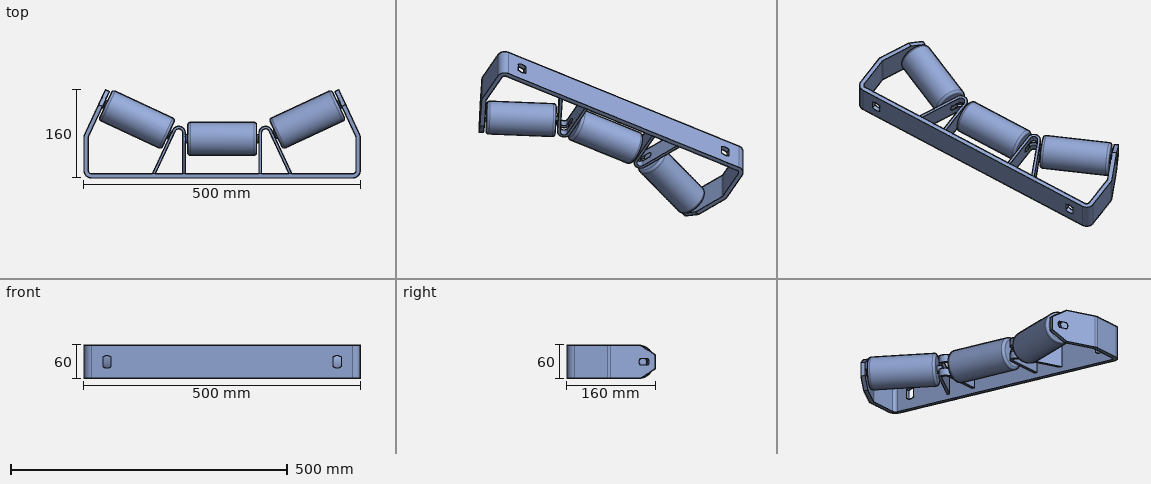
import cadquery as cq
import math

FRAME_LENGTH = 500.0
FRAME_WIDTH = 60.0
FRAME_THICKNESS = 8.0
FRAME_BEND = 14.0
SIDE_BEND_Y = 73.0
TILT = 25.0
TONGUE_LENGTH = 89.5
TONGUE_TIP_WIDTH = 25.5
TONGUE_TAPER = 30.0

MOUNT_SPACING = 416.0
MOUNT_WIDTH = 15.0
MOUNT_HEIGHT = 22.5

BRACKET_WIDTH = 40.0
BRACKET_THICKNESS = 5.0
BRACKET_BEND = 12.0

ROLLER_LENGTH = 125.0
ROLLER_DIAMETER = 60.0
ROLLER_FILLET = 5.0
ROLLER_GAP = 4.0
AXLE_DIAMETER = 15.0
AXLE_FLATS = 12.0
SHOULDER_GAP = 1.5
SLOT_TRAVEL = 5.0
MIDDLE_AXLE_Y = 71.0
TONGUE_AXLE_OFFSET = 64.5

HALF_LENGTH = FRAME_LENGTH / 2
FRAME_INNER_BEND = FRAME_BEND - FRAME_THICKNESS
BRACKET_INNER_BEND = BRACKET_BEND - BRACKET_THICKNESS
FACE_DISTANCE = ROLLER_LENGTH / 2 + ROLLER_GAP
AXLE_RADIUS = AXLE_DIAMETER / 2

RIGHT = 0.0
LEFT = 180.0
DOWN = 270.0
OUTWARD_ANGLE = LEFT - TILT


def polar(center, radius, angle):
    """Point at a distance and an angle (degrees) from a centre."""
    a = math.radians(angle)
    return (center[0] + radius * math.cos(a), center[1] + radius * math.sin(a))


def along_tongue(point, distance):
    """Point moved along the left tongue, toward its tip."""
    return polar(point, distance, OUTWARD_ANGLE - 90)


corner_center = (-HALF_LENGTH + FRAME_BEND, FRAME_BEND)
tongue_center = (-HALF_LENGTH + FRAME_BEND, SIDE_BEND_Y)
tongue_axle = along_tongue(polar(tongue_center, FRAME_INNER_BEND, OUTWARD_ANGLE), TONGUE_AXLE_OFFSET)
tilted_roller_middle = polar(tongue_axle, -FACE_DISTANCE, OUTWARD_ANGLE)
middle_roller_middle = (0.0, MIDDLE_AXLE_Y)

bracket_center_x = -FACE_DISTANCE - BRACKET_BEND
bracket_normal_distance = FRAME_INNER_BEND - 2 * FACE_DISTANCE - BRACKET_BEND
bracket_center_y = SIDE_BEND_Y + (
    bracket_normal_distance + (bracket_center_x - tongue_center[0]) * math.cos(math.radians(TILT))
) / math.sin(math.radians(TILT))
bracket_center = (bracket_center_x, bracket_center_y)


def mirrored(body):
    """Copy of a body on the other side of the YZ plane."""
    return body.mirror("YZ")


def axle_plane(point, angle, distance):
    """Plane at a distance from a point, with its normal at the angle and local x along the axle slot."""
    origin = polar(point, distance, angle)
    slot_direction = polar((0, 0), 1, angle - 90)
    normal = polar((0, 0), 1, angle)
    return cq.Plane(origin=(*origin, 0), xDir=(*slot_direction, 0), normal=(*normal, 0))


def flatted_bar(plane, length, travel=0.0):
    """Bar with two flats and rounded edges; travel stretches it along local x."""
    half_flats = AXLE_FLATS / 2
    chord = math.sqrt(AXLE_RADIUS**2 - half_flats**2)
    return (
        cq.Workplane(plane)
        .moveTo(-chord, -half_flats)
        .lineTo(chord + travel, -half_flats)
        .threePointArc((AXLE_RADIUS + travel, 0), (chord + travel, half_flats))
        .lineTo(-chord, half_flats)
        .threePointArc((-AXLE_RADIUS, 0), (-chord, -half_flats))
        .close()
        .extrude(length)
    )


def make_frame_half():
    corner_middle = (LEFT + DOWN) / 2
    bend_middle = (LEFT + OUTWARD_ANGLE) / 2
    tongue_outer = polar(tongue_center, FRAME_BEND, OUTWARD_ANGLE)
    tongue_inner = polar(tongue_center, FRAME_INNER_BEND, OUTWARD_ANGLE)
    half = (
        cq.Workplane("XY", origin=(0, 0, -FRAME_WIDTH / 2))
        .moveTo(0, 0)
        .lineTo(corner_center[0], 0)
        .threePointArc(
            polar(corner_center, FRAME_BEND, corner_middle),
            polar(corner_center, FRAME_BEND, LEFT),
        )
        .lineTo(-HALF_LENGTH, SIDE_BEND_Y)
        .threePointArc(polar(tongue_center, FRAME_BEND, bend_middle), tongue_outer)
        .lineTo(*along_tongue(tongue_outer, TONGUE_LENGTH))
        .lineTo(*along_tongue(tongue_inner, TONGUE_LENGTH))
        .lineTo(*tongue_inner)
        .threePointArc(
            polar(tongue_center, FRAME_INNER_BEND, bend_middle),
            polar(tongue_center, FRAME_INNER_BEND, LEFT),
        )
        .lineTo(-HALF_LENGTH + FRAME_THICKNESS, FRAME_BEND)
        .threePointArc(
            polar(corner_center, FRAME_INNER_BEND, corner_middle),
            polar(corner_center, FRAME_INNER_BEND, DOWN),
        )
        .lineTo(0, FRAME_THICKNESS)
        .close()
        .extrude(FRAME_WIDTH)
    )
    half = half.cut(tongue_tapers(tongue_inner))
    half = half.cut(tongue_slot())
    return half.cut(mounting_slot())


def tongue_tapers(tongue_inner):
    """The two corner wedges cut off the tongue tip."""
    wedges = cq.Workplane(axle_plane(along_tongue(tongue_inner, TONGUE_LENGTH), OUTWARD_ANGLE, 0))
    for side in (-1, 1):
        edge = side * FRAME_WIDTH / 2
        tip_corner = side * TONGUE_TIP_WIDTH / 2
        wedges = wedges.polyline([(-TONGUE_TAPER, edge), (0, edge), (0, tip_corner)]).close()
    return wedges.extrude(FRAME_THICKNESS)


def tongue_slot():
    plane = axle_plane(tilted_roller_middle, OUTWARD_ANGLE, FACE_DISTANCE)
    return flatted_bar(plane, FRAME_THICKNESS, SLOT_TRAVEL)


def mounting_slot():
    """Round hole narrowed by two upright flats."""
    base = cq.Workplane("XZ", origin=(-MOUNT_SPACING / 2, 0, 0))
    hole = base.circle(MOUNT_HEIGHT / 2).extrude(-FRAME_THICKNESS)
    return hole.intersect(base.rect(MOUNT_WIDTH, MOUNT_HEIGHT).extrude(-FRAME_THICKNESS))


def make_frame():
    half = make_frame_half()
    return half.union(mirrored(half))


def leg_foot(point):
    """Where the leaning bracket leg through a point meets the base of the frame."""
    return along_tongue(point, (FRAME_THICKNESS - point[1]) / math.cos(math.radians(TILT)))


def make_left_bracket():
    bend_middle = (RIGHT + OUTWARD_ANGLE) / 2
    lean_outer = polar(bracket_center, BRACKET_BEND, OUTWARD_ANGLE)
    lean_inner = polar(bracket_center, BRACKET_INNER_BEND, OUTWARD_ANGLE)
    upright_outer = polar(bracket_center, BRACKET_BEND, RIGHT)
    upright_inner = polar(bracket_center, BRACKET_INNER_BEND, RIGHT)
    bracket = (
        cq.Workplane("XY", origin=(0, 0, -BRACKET_WIDTH / 2))
        .moveTo(upright_outer[0], FRAME_THICKNESS)
        .lineTo(*upright_outer)
        .threePointArc(polar(bracket_center, BRACKET_BEND, bend_middle), lean_outer)
        .lineTo(*leg_foot(lean_outer))
        .lineTo(*leg_foot(lean_inner))
        .lineTo(*lean_inner)
        .threePointArc(polar(bracket_center, BRACKET_INNER_BEND, bend_middle), upright_inner)
        .lineTo(upright_inner[0], FRAME_THICKNESS)
        .close()
        .extrude(BRACKET_WIDTH)
    )
    return bracket.cut(bracket_opening())


def bracket_opening():
    """Slot that runs over the bend, from the middle roller's axle to the tilted roller's axle."""
    far_side = FACE_DISTANCE + BRACKET_THICKNESS
    middle_seat = flatted_bar(axle_plane(middle_roller_middle, LEFT, FACE_DISTANCE), BRACKET_THICKNESS)
    tilted_seat = flatted_bar(axle_plane(tilted_roller_middle, OUTWARD_ANGLE, -far_side), BRACKET_THICKNESS)
    middle_axle = polar(middle_roller_middle, FACE_DISTANCE, LEFT)
    tilted_axle = polar(tilted_roller_middle, -FACE_DISTANCE, OUTWARD_ANGLE)
    bracket_top = bracket_center_y + BRACKET_BEND
    over_bend = (
        cq.Workplane("XY", origin=(0, 0, -AXLE_FLATS / 2))
        .moveTo(*middle_axle)
        .lineTo(middle_axle[0], bracket_top)
        .lineTo(tilted_axle[0], bracket_top)
        .lineTo(*tilted_axle)
        .close()
        .extrude(AXLE_FLATS)
    )
    return over_bend.union(middle_seat).union(tilted_seat)


def make_roller(middle, angle, outer_depth):
    """Roller with its axle; outer_depth is how far the axle enters the part that the angle points to."""
    shell = (
        cq.Workplane(axle_plane(middle, angle, -ROLLER_LENGTH / 2))
        .circle(ROLLER_DIAMETER / 2)
        .extrude(ROLLER_LENGTH)
        .edges()
        .fillet(ROLLER_FILLET)
    )
    shoulder = FACE_DISTANCE - SHOULDER_GAP
    axle = cq.Workplane(axle_plane(middle, angle, -shoulder)).circle(AXLE_RADIUS).extrude(2 * shoulder)
    bracket_side = FACE_DISTANCE + BRACKET_THICKNESS
    flats = flatted_bar(axle_plane(middle, angle, -bracket_side), bracket_side + FACE_DISTANCE + outer_depth)
    return shell.union(axle).union(flats)


frame = make_frame()
left_bracket = make_left_bracket()
brackets = [left_bracket, mirrored(left_bracket)]
tilted_roller = make_roller(tilted_roller_middle, OUTWARD_ANGLE, FRAME_THICKNESS)
rollers = [
    tilted_roller,
    make_roller(middle_roller_middle, LEFT, BRACKET_THICKNESS),
    mirrored(tilted_roller),
]

result = cq.Compound.makeCompound([body.val() for body in [frame, *brackets, *rollers]])